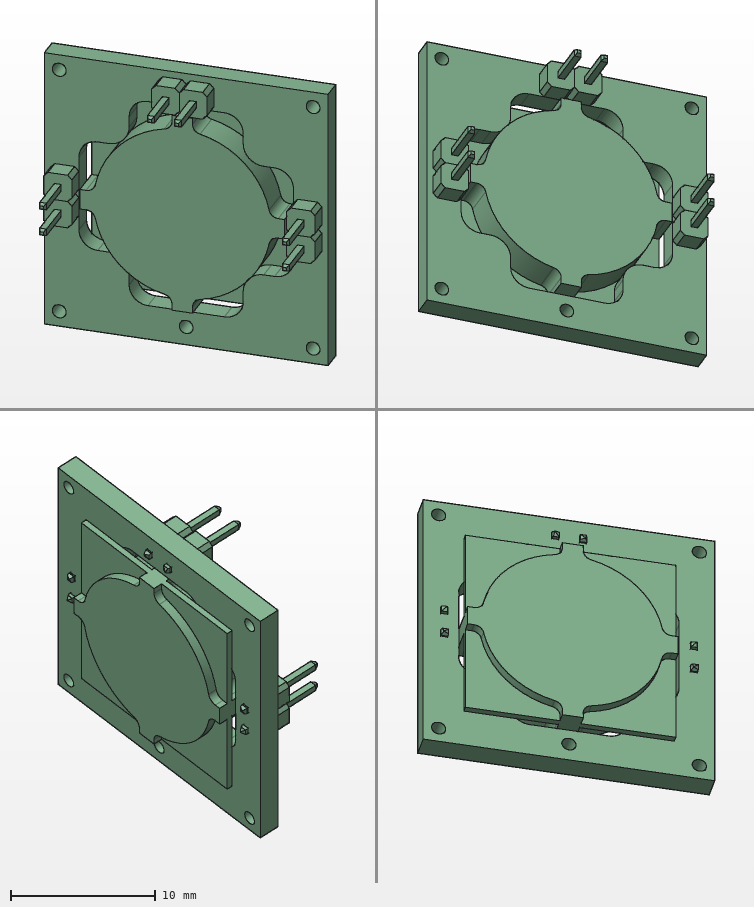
import cadquery as cq


board_width = 20.8
board_height = 20.9
board_thickness = 1.67
mount_hole_diameter = 1.0
mount_hole_offset = 9.3
centre_hole_offset = 9.07

opening_half_length = 7.85
opening_half_width = 4.18
opening_outer_radius = 1.38
opening_inner_radius = 1.5

capsule_size = 15.0
disc_radius = 6.5
tab_width = 1.5
tab_fillet = 0.7
plate_thickness = 0.45
back_disc_thickness = 0.71
front_disc_height = 0.85

pin_pitch = 1.99
pin_row_offset = 8.9
block_size = 2.07
block_height = 1.48
block_chamfer = 0.31
pin_width = 0.5
pin_front_length = 4.95
pin_back_length = 0.4
pin_tip_chamfer_width = 0.13
pin_tip_chamfer_length = 0.3

half_pitch = pin_pitch / 2
pin_sites = [
    (-half_pitch, pin_row_offset, 0),
    (half_pitch, pin_row_offset, 180),
]
for column_x in (-pin_row_offset, pin_row_offset):
    pin_sites.append((column_x, half_pitch, 90))
    pin_sites.append((column_x, -half_pitch, -90))

along_y = cq.selectors.ParallelDirSelector(cq.Vector(0, 1, 0))


def front_plane(y):
    """Sketch plane at depth y: local x is X, local y is Z, and extrusion runs toward -Y."""
    return cq.Workplane("XZ", origin=(0, y, 0))


def edges_near_axis(reach):
    """Selector for the edges along Y whose X and Z both lie within reach of the centre."""
    far = board_width
    return cq.selectors.AndSelector(
        along_y,
        cq.selectors.BoxSelector((-reach, -far, -reach), (reach, far, reach)),
    )


def make_cross(back_y, depth, length, width):
    """Two equal bars crossing at the centre, one along X and one along Z."""
    start = front_plane(back_y)
    return start.rect(length, width).extrude(depth).union(start.rect(width, length).extrude(depth))


def make_opening():
    """Cross-shaped cutter with rounded arm ends and rounded inner corners."""
    cross = make_cross(board_thickness, board_thickness, 2 * opening_half_length, 2 * opening_half_width)
    inner_edges = edges_near_axis((opening_half_width + opening_half_length) / 2)
    outer_edges = cq.selectors.SubtractSelector(along_y, inner_edges)
    cross = cross.edges(outer_edges).fillet(opening_outer_radius)
    return cross.edges(inner_edges).fillet(opening_inner_radius)


def make_board():
    """Rectangular board with the opening, round mounting holes and square pin holes."""
    start = front_plane(board_thickness)
    corner_offsets = (-mount_hole_offset, mount_hole_offset)
    corner_holes = [(x, z) for x in corner_offsets for z in corner_offsets]
    round_holes = corner_holes + [(0, -centre_hole_offset)]
    pin_holes = [(x, z) for x, z, _ in pin_sites]
    board = start.rect(board_width, board_height).extrude(board_thickness)
    board = board.cut(make_opening())
    board = board.cut(start.pushPoints(round_holes).circle(mount_hole_diameter / 2).extrude(board_thickness))
    return board.cut(start.pushPoints(pin_holes).rect(pin_width, pin_width).extrude(board_thickness))


def make_tabbed_disc(back_y, height):
    """Round disc with four tabs, filleted where the tabs leave the disc."""
    tabs = make_cross(back_y, height, capsule_size, tab_width)
    disc = front_plane(back_y).circle(disc_radius).extrude(height).union(tabs)
    tab_roots = edges_near_axis((disc_radius + capsule_size / 2) / 2)
    return disc.edges(tab_roots).fillet(tab_fillet)


def make_capsule():
    """Square plate resting on the back of the board, with a tabbed disc on each side of it."""
    plate_back = board_thickness + plate_thickness
    plate = front_plane(plate_back).rect(capsule_size, capsule_size).extrude(plate_thickness)
    front_disc = make_tabbed_disc(board_thickness, board_thickness + front_disc_height)
    back_disc = make_tabbed_disc(plate_back + back_disc_thickness, back_disc_thickness)
    return plate.union(front_disc).union(back_disc)


def make_pin_unit(x, z, joint_angle):
    """Eight-sided block on the board with one square pin through it, tapered at both ends.

    The block ends at half the pitch on its joint side, where it meets the block beside it.
    """
    block_width = block_size / 2 + half_pitch
    block_shift = half_pitch - block_width / 2
    block = front_plane(0).center(block_shift, 0).rect(block_width, block_size).extrude(block_height)
    block = block.edges("|Y").chamfer(block_chamfer)
    pin_back = board_thickness + pin_back_length
    pin = front_plane(pin_back).rect(pin_width, pin_width).extrude(pin_back + pin_front_length)
    for end_face in ("<Y", ">Y"):
        pin = pin.faces(end_face).chamfer(pin_tip_chamfer_length, pin_tip_chamfer_width)
    unit = block.union(pin).rotate((0, 0, 0), (0, 1, 0), joint_angle)
    return unit.translate((x, 0, z))


board = make_board()
capsule = make_capsule()
pin_units = [make_pin_unit(x, z, angle) for x, z, angle in pin_sites]

result = cq.Compound.makeCompound(
    [board.val(), capsule.val(), *[unit.val() for unit in pin_units]]
)